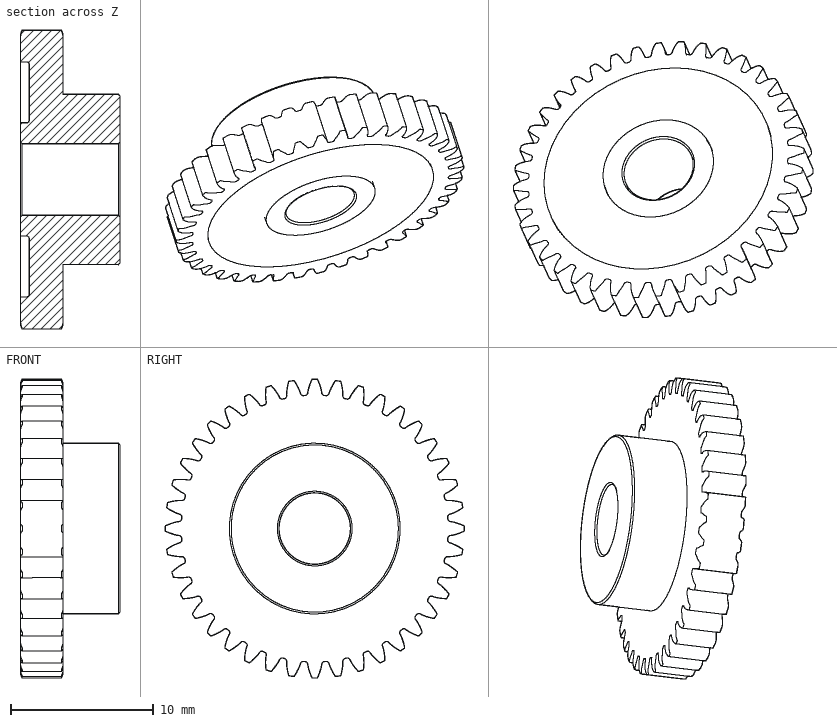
import cadquery as cq
import math

outside_diameter = 21.0
tooth_count = 40
module = outside_diameter / (tooth_count + 2)
pressure_angle = math.radians(20)

pitch_radius = module * tooth_count / 2
base_radius = pitch_radius * math.cos(pressure_angle)
tip_radius = outside_diameter / 2
root_radius = pitch_radius - 1.25 * module
root_fillet = 0.38 * module

face_width = 6 * module
overall_length = 14 * module
hub_radius = 12 * module
bore_radius = 5 * module
edge_chamfer = 0.13

tooth_end_depth = 0.46
tooth_end_radius = 0.88
tooth_end_length = tooth_end_radius - math.sqrt(tooth_end_radius**2 - tooth_end_depth**2)

tip_rounding = 0.05

recess_depth = 0.6
recess_outer_radius = 8.25
boss_radius = 4.0
floor_fillet = 0.17

flank_points = 5
cutter_overshoot = 0.2


def involute(angle):
    return math.tan(angle) - angle


def half_gap_angle(radius):
    """Half the angle that the gap between two teeth spans at a radius."""
    local_angle = math.acos(min(1.0, base_radius / radius))
    return math.pi / (2 * tooth_count) - involute(pressure_angle) + involute(local_angle)


def gap_point(radius, angle):
    """Point (y, z) at an angle from the gap centre line, which lies on +Z."""
    return (radius * math.sin(angle), radius * math.cos(angle))


def blank():
    """Turned gear body with curved tooth ends, hub and bore."""
    inner_edge = bore_radius + edge_chamfer
    crown_start = tip_radius - tooth_end_depth
    half_sweep = math.asin(tooth_end_depth / tooth_end_radius) / 2
    crown_mid = (
        tooth_end_radius * (1 - math.cos(half_sweep)),
        crown_start + tooth_end_radius * math.sin(half_sweep),
    )
    return (
        cq.Workplane("XY")
        .moveTo(edge_chamfer, bore_radius)
        .lineTo(0, inner_edge)
        .lineTo(0, crown_start)
        .threePointArc(crown_mid, (tooth_end_length, tip_radius))
        .lineTo(face_width - tooth_end_length, tip_radius)
        .threePointArc((face_width - crown_mid[0], crown_mid[1]), (face_width, crown_start))
        .lineTo(face_width, hub_radius)
        .lineTo(overall_length - edge_chamfer, hub_radius)
        .lineTo(overall_length, hub_radius - edge_chamfer)
        .lineTo(overall_length, inner_edge)
        .lineTo(overall_length - edge_chamfer, bore_radius)
        .close()
        .revolve(360, (0, 0, 0), (1, 0, 0))
    )


def face_recess():
    """Cutter for the ring-shaped recess around the bore boss."""
    return (
        cq.Workplane("YZ")
        .circle(recess_outer_radius)
        .circle(boss_radius)
        .extrude(recess_depth)
        .faces(">X")
        .edges()
        .fillet(floor_fillet)
    )


def mirrored(point):
    """Point on the other side of the gap centre line."""
    return (-point[0], point[1])


def tooth_gap():
    """Cutter for one gap: involute flanks, rounded tooth tips and a rounded bottom."""
    flank_top_radius = tip_radius - tip_rounding
    step = (flank_top_radius - base_radius) / (flank_points - 1)
    radii = [base_radius + i * step for i in range(flank_points)]
    flank = [gap_point(r, half_gap_angle(r)) for r in radii]

    tip_angle = half_gap_angle(tip_radius)
    corner = gap_point(tip_radius, tip_angle)
    land_point = gap_point(tip_radius, tip_angle + tip_rounding / tip_radius)
    rounding_mid = (
        (flank[-1][0] + 2 * corner[0] + land_point[0]) / 4,
        (flank[-1][1] + 2 * corner[1] + land_point[1]) / 4,
    )

    outer_corner = (land_point[0], tip_radius + cutter_overshoot)
    root_corner = gap_point(root_radius, half_gap_angle(base_radius))
    return (
        cq.Workplane("YZ")
        .moveTo(*mirrored(root_corner))
        .threePointArc((0, root_radius), root_corner)
        .lineTo(*flank[0])
        .spline(flank[1:], includeCurrent=True)
        .threePointArc(rounding_mid, land_point)
        .lineTo(*outer_corner)
        .lineTo(*mirrored(outer_corner))
        .lineTo(*mirrored(land_point))
        .threePointArc(mirrored(rounding_mid), mirrored(flank[-1]))
        .spline([mirrored(p) for p in flank[-2::-1]], includeCurrent=True)
        .close()
        .extrude(face_width)
        .edges("|X and <Z")
        .fillet(root_fillet)
    )


def tooth_gaps():
    """Gap cutters spaced evenly so that a tooth points along +Z."""
    pitch_angle = 360 / tooth_count
    cutter = tooth_gap()
    return [
        cutter.rotate((0, 0, 0), (1, 0, 0), (i + 0.5) * pitch_angle).val()
        for i in range(tooth_count)
    ]


result = cq.Workplane(blank().val().cut(face_recess().val(), *tooth_gaps()))